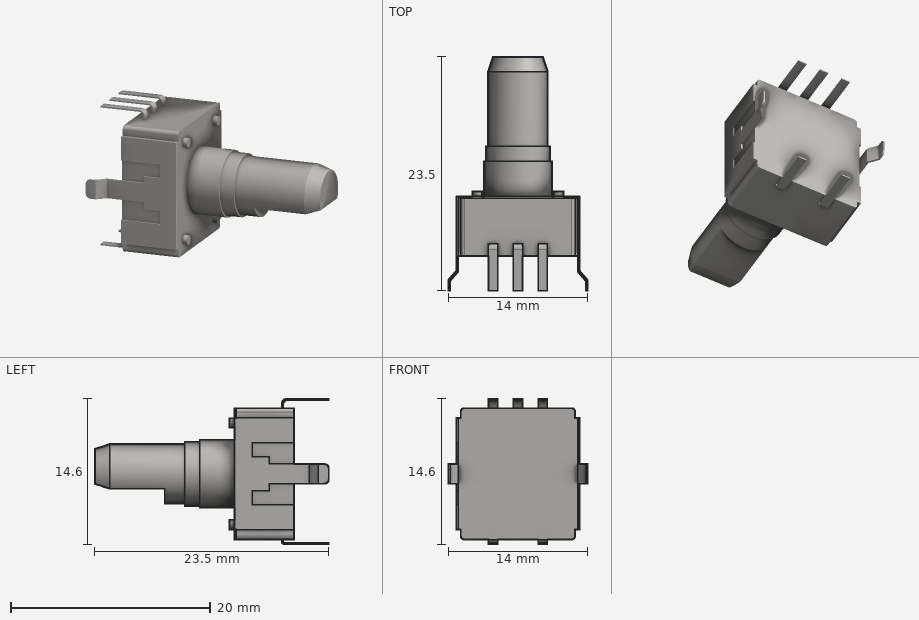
import cadquery as cq
import math


sheet = 0.2
body_depth = 6.0
block_height = 13.2
block_width = 11.5
waist_width = 12.0
flap_height = 11.2
corner_radius = 0.38
bend_radius = 0.1

shaft_length = 14.0
shaft_radius = 3.0
tip_length = 1.5
tip_inset = 0.5
flat_offset = 1.5
flat_length = 7.0
bushing_radius = 3.43
bushing_length = 3.5
collar_radius = 3.25
collar_end = 5.0

boss_radius = 0.5
boss_height = 0.5
boss_x = 4.1
boss_z = 5.1

projection = 3.5
terminal_width = 0.95
terminal_pitch = 2.5
terminal_thickness = 0.15
terminal_setback = 1.25
upper_terminal_z = 7.55
lower_terminal_z = 7.05
upper_bend_radius = 0.4
lower_bend_radius = 0.1
terminal_root = 0.24

leg_span = 14.0
leg_width = 2.0
leg_tip_radius = 0.5
leg_bend_start = 1.5
leg_bend_end = 2.42
window_height = 6.25
window_depth = 4.18
window_neck_height = 3.4
window_neck_depth = 2.5

block_face_y = -body_depth
end_y = block_face_y - projection
flap_outer_x = waist_width / 2 + sheet


def box(x_range, y_range, z_range):
    """Box between the given coordinate limits."""
    return (
        cq.Workplane("XY")
        .box(
            x_range[1] - x_range[0],
            y_range[1] - y_range[0],
            z_range[1] - z_range[0],
            centered=False,
        )
        .translate((x_range[0], y_range[0], z_range[0]))
    )


def centered_slab(width, y_range, height):
    """Box centered on the shaft axis."""
    return box((-width / 2, width / 2), y_range, (-height / 2, height / 2))


def cylinder(radius, y_range, x=0, z=0):
    """Cylinder parallel to the shaft axis."""
    start = cq.Vector(x, y_range[0], z)
    length = y_range[1] - y_range[0]
    return cq.Workplane(cq.Solid.makeCylinder(radius, length, start, cq.Vector(0, 1, 0)))


def rounded_slab(y_range):
    """Block outline with rounded corners, between two Y positions."""
    return centered_slab(block_width, y_range, block_height).edges("|Y").fillet(corner_radius)


def make_shaft():
    """Shaft with a tapered tip and a flat, made from the cover inner face."""
    tip_start = shaft_length - tip_length
    shaft = cylinder(shaft_radius, (-sheet, tip_start))
    tip = cq.Solid.makeCone(
        shaft_radius,
        shaft_radius - tip_inset,
        tip_length,
        cq.Vector(0, tip_start, 0),
        cq.Vector(0, 1, 0),
    )
    flat_start = shaft_length - flat_length
    flat_outline = [
        (flat_start, -flat_offset),
        (tip_start, -flat_offset),
        (shaft_length, tip_inset - flat_offset),
        (shaft_length, -shaft_radius),
        (flat_start, -shaft_radius),
    ]
    flat_cut = cq.Workplane("YZ").polyline(flat_outline).close().extrude(shaft_radius, both=True)
    return shaft.union(cq.Workplane(tip)).cut(flat_cut)


def make_bosses():
    """Round bosses near the four corners, standing through the cover."""
    bosses = []
    for x in (-boss_x, boss_x):
        for z in (-boss_z, boss_z):
            bosses.append(cylinder(boss_radius, (-sheet, boss_height), x, z))
    return bosses


def make_terminal(x, outer_z, inner_radius, side):
    """Bent strip that rises from the block on the given Z side and runs to -Y."""
    outer_radius = inner_radius + terminal_thickness
    outer_y = block_face_y + terminal_setback
    inner_y = outer_y - terminal_thickness
    inner_z = outer_z - terminal_thickness
    root_z = block_height / 2 - terminal_root
    center_y = outer_y - outer_radius
    center_z = outer_z - outer_radius
    diagonal = math.sqrt(0.5)

    def point(y, z):
        return (y, side * z)

    def bend_middle(radius):
        return point(center_y + radius * diagonal, center_z + radius * diagonal)

    return (
        cq.Workplane("YZ", origin=(x, 0, 0))
        .moveTo(*point(outer_y, root_z))
        .lineTo(*point(outer_y, center_z))
        .threePointArc(bend_middle(outer_radius), point(center_y, outer_z))
        .lineTo(*point(end_y, outer_z))
        .lineTo(*point(end_y, inner_z))
        .lineTo(*point(center_y, inner_z))
        .threePointArc(bend_middle(inner_radius), point(inner_y, center_z))
        .lineTo(*point(inner_y, root_z))
        .close()
        .extrude(terminal_width / 2, both=True)
    )


def make_terminals():
    """Three terminals on the +Z side and two on the -Z side."""
    terminals = []
    for position in (-1, 0, 1):
        x = position * terminal_pitch
        terminals.append(make_terminal(x, upper_terminal_z, upper_bend_radius, 1))
    for position in (-1, 1):
        x = position * terminal_pitch
        terminals.append(make_terminal(x, lower_terminal_z, lower_bend_radius, -1))
    return terminals


def make_housing():
    """Block with its bushing, collar, shaft, bosses and terminals."""
    block_range = (block_face_y, -sheet)
    housing = rounded_slab(block_range)
    housing = housing.union(centered_slab(waist_width, block_range, flap_height))
    housing = housing.union(cylinder(bushing_radius, (-sheet, bushing_length)))
    housing = housing.union(cylinder(collar_radius, (-sheet, collar_end)))
    housing = housing.union(make_shaft())
    for feature in make_bosses() + make_terminals():
        housing = housing.union(feature)
    return housing


def make_leg():
    """Cranked snap-in leg on the +X side, starting inside the windows."""
    start_y = block_face_y + window_depth
    bend_start_y = block_face_y - leg_bend_start
    bend_end_y = block_face_y - leg_bend_end
    outer_x = leg_span / 2
    bend_angle = math.atan2(outer_x - flap_outer_x, leg_bend_end - leg_bend_start)
    shift = sheet * math.tan(bend_angle / 2)
    outline = [
        (flap_outer_x, start_y),
        (flap_outer_x, bend_start_y),
        (outer_x, bend_end_y),
        (outer_x, end_y),
        (outer_x - sheet, end_y),
        (outer_x - sheet, bend_end_y - shift),
        (flap_outer_x - sheet, bend_start_y - shift),
        (flap_outer_x - sheet, start_y),
    ]
    leg = cq.Workplane("XY").polyline(outline).close().extrude(leg_width / 2, both=True)
    return leg.faces("<Y").edges("|X").fillet(leg_tip_radius)


def make_flap_windows():
    """Stepped openings that leave the leg and its wider neck, through both flaps."""
    x_span = 2 * flap_outer_x
    wide = centered_slab(x_span, (block_face_y, block_face_y + window_depth), window_height)
    neck_range = (block_face_y + window_neck_depth, block_face_y + window_depth)
    neck = centered_slab(x_span, neck_range, window_neck_height)
    return wide.cut(neck)


def make_cover():
    """Sheet metal cover: plate, two side flaps and two snap-in legs."""
    cover = centered_slab(2 * flap_outer_x, (block_face_y, 0), flap_height)
    cover = cover.faces(">Y").edges("|Z").fillet(bend_radius)
    cover = cover.cut(centered_slab(waist_width, (block_face_y, -sheet), flap_height))
    cover = cover.cut(make_flap_windows())
    cover = cover.union(rounded_slab((-sheet, 0)))
    leg = make_leg()
    cover = cover.union(leg).union(leg.mirror("YZ"))
    cover = cover.cut(cylinder(bushing_radius, (-sheet, 0)))
    for boss in make_bosses():
        cover = cover.cut(boss)
    return cover


housing = make_housing()
cover = make_cover()

result = cq.Compound.makeCompound([housing.val(), cover.val()])